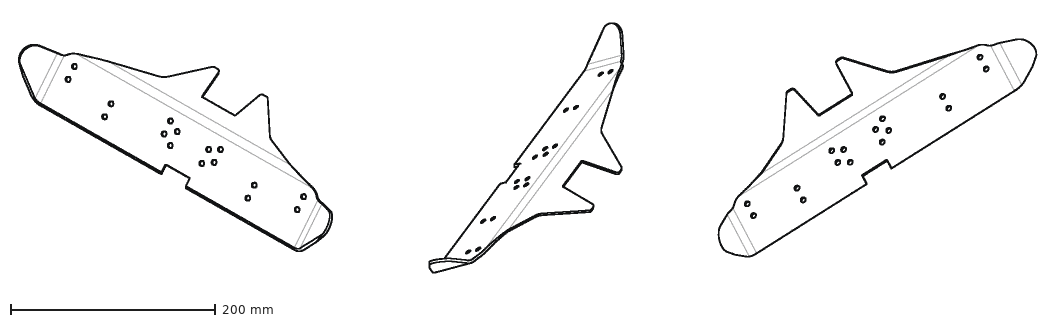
import cadquery as cq
import math

width = 368.3
thickness = 3.0
inner_radius = 9.2
outer_radius = inner_radius + thickness

plate_slope = 40.0
flange_slope = 5.0
wing_angle = 45.0

plate_length = 65.5
plate_half_width = 151.5

bend_half_width_back = 108.5
bend_half_width_front = 140.7
shoulder_radius = 16.5
valley_radius = 9.2
shoulder_angle = 50.0

lobe_radius = 14.5
wing_front_lean = 10.5

prong_center = 10.0
prong_root_offset = 63.7
prong_root_length = 20.5
prong_root_radius = 16.2
flange_length = 62.0
tip_outer_offset = 32.5
tip_inner_offset = 24.5
tip_radius = 3.0
prong_gap_length = 23.5
prong_gap_half_width = 20.0
prong_gap_radius = 1.0

group_center = 7.7
notch_width = 29.0
notch_bottom = 57.0

hole_diameter = 5.0
hole_pitch = 14.5
first_hole_row = 17.0
middle_hole_rows = (23.0, 38.3)
end_hole_offset = 136.5
low_hole_offset = 85.5
group_outer_offset = 30.0
group_inner_offset = 18.8

margin = 3.5
trim_allowance = 7.5


def sin(degrees):
    return math.sin(math.radians(degrees))


def cos(degrees):
    return math.cos(math.radians(degrees))


def tan(degrees):
    return math.tan(math.radians(degrees))


bend_angle = plate_slope + flange_slope
bend_setback = outer_radius * tan(bend_angle / 2)
wing_setback = inner_radius * tan(wing_angle / 2)
wing_fold_x = plate_half_width + wing_setback

plate_plane = cq.Plane((0, 0, 0), (1, 0, 0), (0, -sin(plate_slope), cos(plate_slope)))
flange_plane = cq.Plane((0, 0, 0), (1, 0, 0), (0, sin(flange_slope), cos(flange_slope)))
section_plane = cq.Plane((0, 0, 0), (1, 0, 0), (0, -cos(plate_slope), -sin(plate_slope)))
wing_plane = plate_plane.rotated((0, -wing_angle, 0))
wing_plane.origin = (wing_fold_x, 0, 0)

bend_edge_angle = math.degrees(
    math.atan2(outer_radius * math.radians(bend_angle), bend_half_width_front - bend_half_width_back)
)
shoulder_middle_x = bend_half_width_front + shoulder_radius * (sin(shoulder_angle) - sin(bend_edge_angle))
shoulder_middle_y = -bend_setback - shoulder_radius * (cos(bend_edge_angle) - cos(shoulder_angle))
shoulder_end_x = shoulder_middle_x + valley_radius * sin(shoulder_angle)
wing_back_y = shoulder_middle_y - valley_radius * (1 - cos(shoulder_angle))

front_y = -plate_length * cos(plate_slope)

bend_rise = inner_radius * (1 - cos(wing_angle))
front_corner_y = (front_y + bend_rise * sin(plate_slope)) / cos(plate_slope)
front_corner_z = front_corner_y * sin(plate_slope) + bend_rise * cos(plate_slope)


def both_sides(body):
    return body.union(body.mirror("YZ"))


def make_plate():
    plate_end = plate_length + margin
    return (
        cq.Workplane(plate_plane)
        .center(0, -(bend_setback + plate_end) / 2)
        .rect(2 * plate_half_width, plate_end - bend_setback)
        .extrude(-thickness)
    )


def make_wing_bend():
    def on_arc(radius, angle):
        return (plate_half_width + radius * sin(angle), inner_radius - radius * cos(angle))

    sector = (
        cq.Workplane(section_plane)
        .moveTo(*on_arc(inner_radius, 0))
        .threePointArc(on_arc(inner_radius, wing_angle / 2), on_arc(inner_radius, wing_angle))
        .lineTo(*on_arc(outer_radius, wing_angle))
        .threePointArc(on_arc(outer_radius, wing_angle / 2), on_arc(outer_radius, 0))
        .close()
    )
    return sector.extrude(plate_length + margin)


def make_shoulder_cutter():
    half_turn = (bend_edge_angle + shoulder_angle) / 2
    convex_middle = (
        bend_half_width_front + shoulder_radius * (sin(half_turn) - sin(bend_edge_angle)),
        -bend_setback - shoulder_radius * (cos(bend_edge_angle) - cos(half_turn)),
    )
    concave_middle = (
        shoulder_end_x - valley_radius * sin(shoulder_angle / 2),
        wing_back_y + valley_radius * (1 - cos(shoulder_angle / 2)),
    )
    outline = (
        cq.Workplane(plate_plane)
        .workplane(offset=-outer_radius)
        .moveTo(bend_half_width_front, -bend_setback)
        .threePointArc(convex_middle, (shoulder_middle_x, shoulder_middle_y))
        .threePointArc(concave_middle, (shoulder_end_x, wing_back_y))
        .lineTo(width / 2, wing_back_y)
        .lineTo(width / 2, margin)
        .lineTo(bend_half_width_front, margin)
        .close()
    )
    return outline.extrude(2 * outer_radius)


def make_wing():
    reach = (width / 2 - thickness * sin(wing_angle) - wing_fold_x) / cos(wing_angle)
    lobe_x = reach - lobe_radius
    lobe_y = wing_back_y - lobe_radius

    corner_x = wing_setback
    corner_y = front_corner_y - trim_allowance
    corner_distance = math.hypot(corner_x - lobe_x, corner_y - lobe_y)
    corner_direction = math.degrees(math.atan2(corner_y - lobe_y, corner_x - lobe_x))
    touch_direction = corner_direction + math.degrees(math.acos(lobe_radius / corner_distance))

    def on_lobe(direction):
        return (lobe_x + lobe_radius * cos(direction), lobe_y + lobe_radius * sin(direction))

    back_direction = 90
    outline = (
        cq.Workplane(wing_plane)
        .moveTo(corner_x, corner_y)
        .lineTo(*on_lobe(touch_direction))
        .threePointArc(on_lobe((touch_direction + back_direction) / 2), on_lobe(back_direction))
        .lineTo(wing_setback, wing_back_y)
        .close()
    )
    return outline.extrude(-thickness)


bend_center_y = -bend_setback * cos(plate_slope) + outer_radius * sin(plate_slope)
bend_center_z = -bend_setback * sin(plate_slope) - outer_radius * cos(plate_slope)


def bend_point(radius, tilt):
    """Y and Z of a point on the bend, tilt degrees behind the vertical through its axis."""
    return (bend_center_y + radius * sin(tilt), bend_center_z + radius * cos(tilt))


def make_bend():
    middle_tilt = (flange_slope - plate_slope) / 2
    sector = (
        cq.Workplane("YZ")
        .moveTo(*bend_point(outer_radius, -plate_slope))
        .threePointArc(bend_point(outer_radius, middle_tilt), bend_point(outer_radius, flange_slope))
        .lineTo(*bend_point(inner_radius, flange_slope))
        .threePointArc(bend_point(inner_radius, middle_tilt), bend_point(inner_radius, -plate_slope))
        .close()
    )
    return sector.extrude(bend_half_width_front, both=True)


def make_bend_end_cutter():
    """The ends taper evenly around the bend and stay square to the sheet."""
    steps = 4
    sections = []
    for step in range(-1, steps + 2):
        share = step / steps
        tilt = -plate_slope + bend_angle * share
        edge_x = bend_half_width_front + (bend_half_width_back - bend_half_width_front) * share
        low = bend_point(inner_radius - margin, tilt)
        high = bend_point(outer_radius + margin, tilt)
        corners = [(edge_x, *low), (edge_x, *high), (width / 2, *high), (width / 2, *low)]
        sections.append(cq.Wire.makePolygon([cq.Vector(*corner) for corner in corners], close=True))
    return cq.Workplane(cq.Solid.makeLoft(sections))


def make_flange():
    def on_side(side, offset, length):
        return (prong_center + side * offset, length)

    corners = [(-bend_half_width_back, bend_setback)]
    for side in (-1, 1):
        prong = [
            on_side(side, prong_root_offset, prong_root_length),
            on_side(side, tip_outer_offset, flange_length),
            on_side(side, tip_inner_offset, flange_length),
            on_side(side, prong_gap_half_width, prong_gap_length),
        ]
        corners += prong if side < 0 else prong[::-1]
    corners.append((bend_half_width_back, bend_setback))
    flange = cq.Workplane(flange_plane).polyline(corners).close().extrude(-thickness)

    roundings = (
        (prong_root_offset, prong_root_length, prong_root_radius),
        (tip_outer_offset, flange_length, tip_radius),
        (tip_inner_offset, flange_length, tip_radius),
        (prong_gap_half_width, prong_gap_length, prong_gap_radius),
    )
    for offset, length, radius in roundings:
        for side in (-1, 1):
            corner = flange_plane.toWorldCoords((*on_side(side, offset, length), -thickness / 2))
            edge = cq.selectors.NearestToPointSelector(corner.toTuple())
            flange = flange.edges(edge).fillet(radius)
    return flange


def make_holes():
    row_one, row_two, row_three = (first_hole_row + hole_pitch * row for row in range(3))
    centers = []
    for side in (-1, 1):
        columns = (
            (side * end_hole_offset, (row_one, row_two)),
            (side * low_hole_offset, (row_two, row_three)),
            (group_center + side * group_outer_offset, (row_one, row_two)),
            (group_center + side * group_inner_offset, middle_hole_rows),
        )
        centers += [(x, -row) for x, rows in columns for row in rows]
    return cq.Workplane(plate_plane).pushPoints(centers).circle(hole_diameter / 2).extrude(-thickness)


def make_notch():
    notch_length = plate_length + margin - notch_bottom
    return (
        cq.Workplane(plate_plane)
        .center(group_center, -notch_bottom - notch_length / 2)
        .rect(notch_width, notch_length)
        .extrude(-thickness)
    )


def make_front_cutter():
    """Trims the plate and wing bends to a vertical face, and the wings above it to a leaning one."""
    height = width / 2
    outline = (
        cq.Workplane("YZ")
        .moveTo(front_y, -height)
        .lineTo(front_y, front_corner_z)
        .lineTo(front_y + height * tan(wing_front_lean), front_corner_z + height)
        .lineTo(front_y - height, front_corner_z + height)
        .lineTo(front_y - height, -height)
        .close()
    )
    return outline.extrude(width, both=True)


plate = make_plate().union(both_sides(make_wing_bend()))
plate = plate.cut(both_sides(make_shoulder_cutter()))
plate = plate.union(both_sides(make_wing())).cut(make_front_cutter())
plate = plate.cut(make_holes()).cut(make_notch())

bend_end_cutter = make_bend_end_cutter()
bend = make_bend().cut(bend_end_cutter).cut(bend_end_cutter.mirror("YZ"))

result = plate.union(bend).union(make_flange())